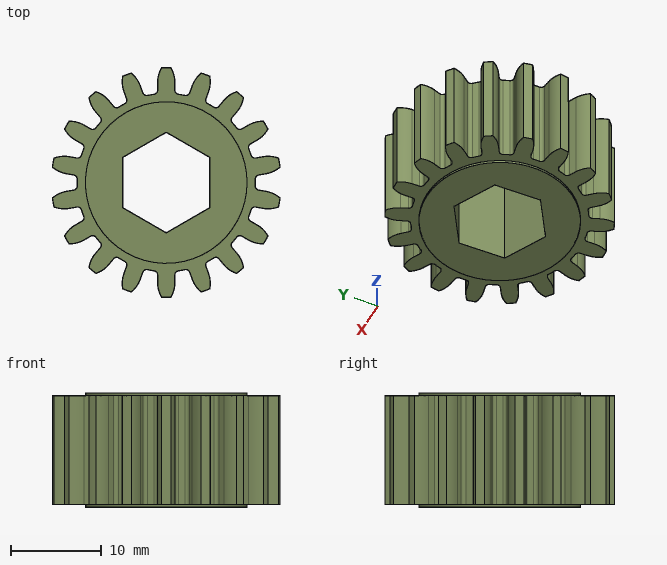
import cadquery as cq
import math

tooth_count = 18
tip_radius = 12.7
root_radius = 9.85
tip_half_width = 0.5
tooth_half_width = 0.97
flank_start_height = 11.05
root_fillet = 0.43
total_height = 12.65
hub_step = 0.3
hub_diameter = 17.85
hex_across_flats = 9.6

face_width = total_height - 2 * hub_step
hex_across_corners = hex_across_flats / math.cos(math.radians(30))
tooth_pitch = 360 / tooth_count

tip_height = math.sqrt(tip_radius**2 - tip_half_width**2)

flank_run = tooth_half_width - tip_half_width
flank_rise = tip_height - flank_start_height
flank_radius = (flank_run**2 + flank_rise**2) / (2 * flank_run)
flank_mid_angle = math.asin(flank_rise / flank_radius) / 2
flank_mid = (
    tooth_half_width - flank_radius * (1 - math.cos(flank_mid_angle)),
    flank_start_height + flank_radius * math.sin(flank_mid_angle),
)

fillet_center_x = tooth_half_width + root_fillet
fillet_center_y = math.sqrt((root_radius + root_fillet) ** 2 - fillet_center_x**2)
root_scale = root_radius / (root_radius + root_fillet)
root_end = (fillet_center_x * root_scale, fillet_center_y * root_scale)

root_direction = math.atan2(-fillet_center_y, -fillet_center_x) % (2 * math.pi)
fillet_mid_angle = (math.pi + root_direction) / 2
fillet_mid = (
    fillet_center_x + root_fillet * math.cos(fillet_mid_angle),
    fillet_center_y + root_fillet * math.sin(fillet_mid_angle),
)


def turned(point, degrees):
    """Turn a point clockwise about the gear centre."""
    x, y = point
    angle = math.radians(degrees)
    return (
        x * math.cos(angle) + y * math.sin(angle),
        y * math.cos(angle) - x * math.sin(angle),
    )


def mirrored(point):
    """Reflect a point onto the other side of the tooth centreline."""
    return (-point[0], point[1])


def gear_outline():
    """Closed outline: each tooth runs from its left root to the next tooth's left root."""
    flank_start = (tooth_half_width, flank_start_height)
    fillet_start = (tooth_half_width, fillet_center_y)
    tip_corner = (tip_half_width, tip_height)
    outline = cq.Workplane("XY").moveTo(*mirrored(root_end))
    for index in range(tooth_count):
        turn = index * tooth_pitch

        def at(point):
            return turned(point, turn)

        valley_mid = turned((0, root_radius), turn + tooth_pitch / 2)
        next_root = turned(mirrored(root_end), turn + tooth_pitch)
        outline = (
            outline.threePointArc(at(mirrored(fillet_mid)), at(mirrored(fillet_start)))
            .lineTo(*at(mirrored(flank_start)))
            .threePointArc(at(mirrored(flank_mid)), at(mirrored(tip_corner)))
            .threePointArc(at((0, tip_radius)), at(tip_corner))
            .threePointArc(at(flank_mid), at(flank_start))
            .lineTo(*at(fillet_start))
            .threePointArc(at(fillet_mid), at(root_end))
            .threePointArc(valley_mid, next_root)
        )
    return outline.close()


gear = gear_outline().extrude(face_width / 2, both=True)

hub = cq.Workplane("XY").circle(hub_diameter / 2).extrude(total_height / 2, both=True)

bore = (
    cq.Workplane("XY")
    .transformed(rotate=(0, 0, 90))
    .polygon(6, hex_across_corners)
    .extrude(total_height / 2, both=True)
)

result = gear.union(hub).cut(bore)